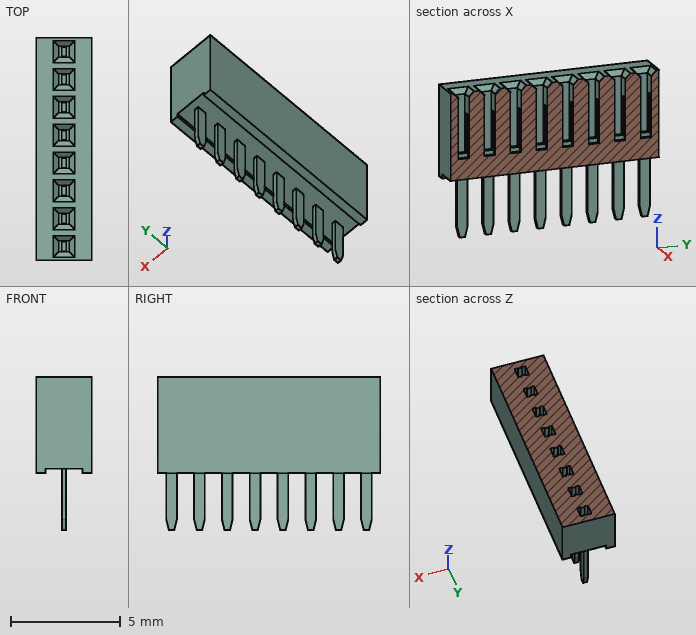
import cadquery as cq

position_count = 8
length = 10.16
pitch = length / position_count
width = 2.54
height = 4.4

foot_width = 0.43
channel_width = width - 2 * foot_width
channel_depth = 0.2

funnel_width = 1.0
hole_width = 0.5
funnel_depth = (funnel_width - hole_width) / 2
hole_floor = 1.22

contact_thickness = 0.2
base_height = 0.2
arm_height = 2.03
arm_projection = 0.04
pin_width = 0.5
pin_length = 2.6
tip_width = 0.25
tip_length = 0.5


def make_housing():
    block = cq.Workplane("XY").box(width, length, height, centered=(True, True, False))
    channel = cq.Workplane("XY").box(
        channel_width, length, channel_depth, centered=(True, True, False)
    )
    return block.cut(channel)


def make_socket():
    """Open space of one socket, centred on the Z axis."""
    hole = (
        cq.Workplane("XY", origin=(0, 0, hole_floor))
        .rect(hole_width, hole_width)
        .extrude(height - hole_floor)
    )
    funnel = (
        cq.Workplane("XY", origin=(0, 0, height - funnel_depth))
        .rect(hole_width, hole_width)
        .workplane(offset=funnel_depth)
        .rect(funnel_width, funnel_width)
        .loft()
    )
    return hole.union(funnel)


def make_contact():
    """Base and spring arms, standing on the floor of one socket."""
    blank = cq.Workplane("XY", origin=(0, 0, hole_floor)).box(
        contact_thickness, hole_width, arm_height, centered=(True, True, False)
    )
    gap = cq.Workplane("XY", origin=(0, 0, hole_floor + base_height)).box(
        contact_thickness,
        hole_width - 2 * arm_projection,
        arm_height - base_height,
        centered=(True, True, False),
    )
    return blank.cut(gap)


def make_pin():
    """Flat solder pin, tapered across its width at the lower end."""
    shoulder = tip_length - pin_length
    half_width = pin_width / 2
    half_tip = tip_width / 2
    return (
        cq.Workplane("YZ")
        .polyline([
            (-half_width, channel_depth),
            (-half_width, shoulder),
            (-half_tip, -pin_length),
            (half_tip, -pin_length),
            (half_width, shoulder),
            (half_width, channel_depth),
        ])
        .close()
        .extrude(contact_thickness / 2, both=True)
    )


result = make_housing()
socket = make_socket()
contact = make_contact()
pin = make_pin()
for index in range(position_count):
    position = (0, (index - (position_count - 1) / 2) * pitch, 0)
    result = result.cut(socket.translate(position))
    result = result.union(contact.translate(position))
    result = result.union(pin.translate(position))